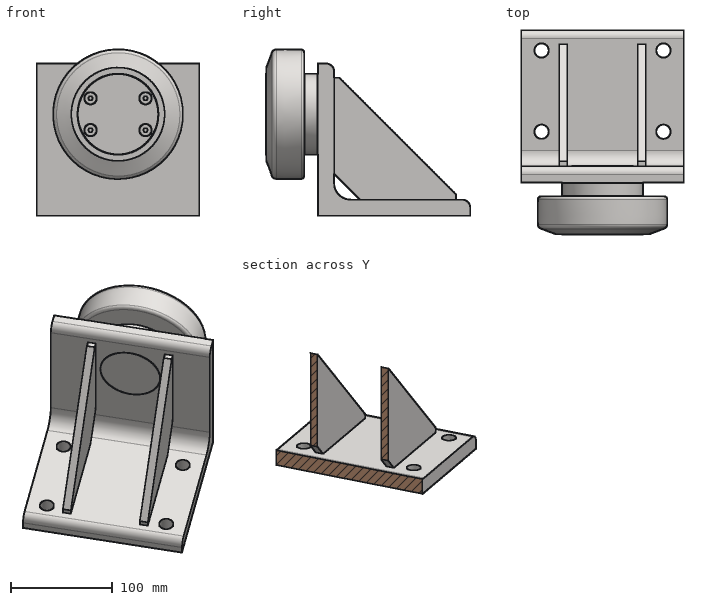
import cadquery as cq
import math

width = 160.0
leg = 150.0
thickness = 16.0
root_radius = 16.0
toe_radius = 8.0

hole_diameter = 13.84
hole_pitch_x = 120.0
hole_pitch_y = 80.0
hole_back_margin = 20.0

rib_thickness = 8.0
rib_pitch = 77.4
rib_leg = 120.0
rib_nose = 5.0
rib_root_cut = 25.0

axis_height = 100.0
pin_radius = 30.0
pin_protrusion = 0.4
neck_radius = 40.0
end_chamfer = 0.5

roller_back = 13.5
roller_front = 51.0
roller_radius = 64.0
crown_depth = 28.8
crown_radius = 500.0
back_edge_radius = 3.2
front_edge_radius = 4.8
cone_angle = 20.5
face_radius = 46.0
cap_front = roller_front + end_chamfer

screw_circle_radius = 31.25
screw_angles = (30.0, 150.0, 210.0, 330.0)
counterbore_diameter = 12.4
counterbore_depth = 0.6
head_diameter = 11.7
head_recess = 0.2
socket_across_flats = 4.0
socket_depth = 0.6


def make_bracket():
    """L section with rounded toes and root, extruded along X and drilled."""
    bracket = (
        cq.Workplane("YZ")
        .polyline([(0, 0), (leg, 0), (leg, thickness), (thickness, thickness), (thickness, leg), (0, leg)])
        .close()
        .extrude(width / 2, both=True)
    )
    bracket = bracket.edges(cq.selectors.NearestToPointSelector((0, thickness, thickness))).fillet(root_radius)
    for toe in ((0, leg, thickness), (0, thickness, leg)):
        bracket = bracket.edges(cq.selectors.NearestToPointSelector(toe)).fillet(toe_radius)
    holes = (
        cq.Workplane("XY")
        .center(0, leg - hole_back_margin - hole_pitch_y / 2)
        .rarray(hole_pitch_x, hole_pitch_y, 2, 2)
        .circle(hole_diameter / 2)
        .extrude(thickness)
    )
    return bracket.cut(holes)


def make_rib(x_center):
    """Triangular gusset with blunt ends and a clipped root corner."""
    inner = thickness
    outer = thickness + rib_leg
    outline = [
        (inner + rib_root_cut, inner),
        (outer, inner),
        (outer, inner + rib_nose),
        (inner + rib_nose, outer),
        (inner, outer),
        (inner, inner + rib_root_cut),
    ]
    return (
        cq.Workplane("YZ", origin=(x_center, 0, 0))
        .polyline(outline)
        .close()
        .extrude(rib_thickness / 2, both=True)
    )


def make_roller():
    """Pin, chamfered neck, crowned roller and raised cap as one profile of (radius, -depth) points."""
    pin_back = thickness + pin_protrusion
    end_radius = neck_radius - end_chamfer
    cone = math.radians(cone_angle)
    tread_back = roller_back + back_edge_radius
    tread_end_radius = roller_radius - crown_radius + math.sqrt(
        crown_radius**2 - (crown_depth - tread_back) ** 2
    )
    cone_end_radius = tread_end_radius - front_edge_radius * (1 - math.sin(cone))
    cone_end_depth = roller_front - (cone_end_radius - face_radius) * math.tan(cone)
    arc_center_depth = cone_end_depth - front_edge_radius * math.cos(cone)
    arc_center_radius = cone_end_radius - front_edge_radius * math.sin(cone)
    arc_mid_angle = (math.pi / 2 + cone) / 2
    arc_mid = (
        arc_center_radius + front_edge_radius * math.sin(arc_mid_angle),
        -arc_center_depth - front_edge_radius * math.cos(arc_mid_angle),
    )
    back_mid = back_edge_radius * (1 - math.sqrt(0.5))
    return (
        cq.Workplane("XY")
        .moveTo(0, pin_back)
        .lineTo(pin_radius, pin_back)
        .lineTo(pin_radius, 0)
        .lineTo(end_radius, 0)
        .lineTo(neck_radius, -end_chamfer)
        .lineTo(neck_radius, end_chamfer - roller_back)
        .lineTo(end_radius, -roller_back)
        .lineTo(tread_end_radius - back_edge_radius, -roller_back)
        .threePointArc(
            (tread_end_radius - back_mid, -roller_back - back_mid),
            (tread_end_radius, -tread_back),
        )
        .threePointArc((roller_radius, -crown_depth), (tread_end_radius, -arc_center_depth))
        .threePointArc(arc_mid, (cone_end_radius, -cone_end_depth))
        .lineTo(face_radius, -roller_front)
        .lineTo(neck_radius, -roller_front)
        .lineTo(end_radius, -cap_front)
        .lineTo(0, -cap_front)
        .close()
        .revolve(360, (0, 0, 0), (0, 1, 0))
        .translate((0, 0, axis_height))
    )


def disc(center, diameter, front, back):
    """Cylinder along Y between two depths."""
    x, z = center
    return (
        cq.Workplane("XZ", origin=(x, -back, z))
        .circle(diameter / 2)
        .extrude(front - back)
    )


def hex_socket(center, front):
    """Hexagonal socket with two corners on a horizontal line."""
    x, z = center
    across_corners = socket_across_flats / math.cos(math.pi / 6)
    return (
        cq.Workplane("XZ", origin=(x, socket_depth - front, z))
        .polygon(6, across_corners)
        .extrude(socket_depth)
    )


def set_screw_head(body, angle):
    """Sink one screw head with its hexagonal socket into the cap."""
    turn = math.radians(angle)
    center = (screw_circle_radius * math.cos(turn), axis_height + screw_circle_radius * math.sin(turn))
    counterbore_floor = cap_front - counterbore_depth
    head_front = cap_front - head_recess
    body = body.cut(disc(center, counterbore_diameter, cap_front, counterbore_floor))
    body = body.union(disc(center, head_diameter, head_front, counterbore_floor))
    return body.cut(hex_socket(center, head_front))


result = make_bracket().union(make_roller())
for side in (-1, 1):
    result = result.union(make_rib(side * rib_pitch / 2))
for screw_angle in screw_angles:
    result = set_screw_head(result, screw_angle)